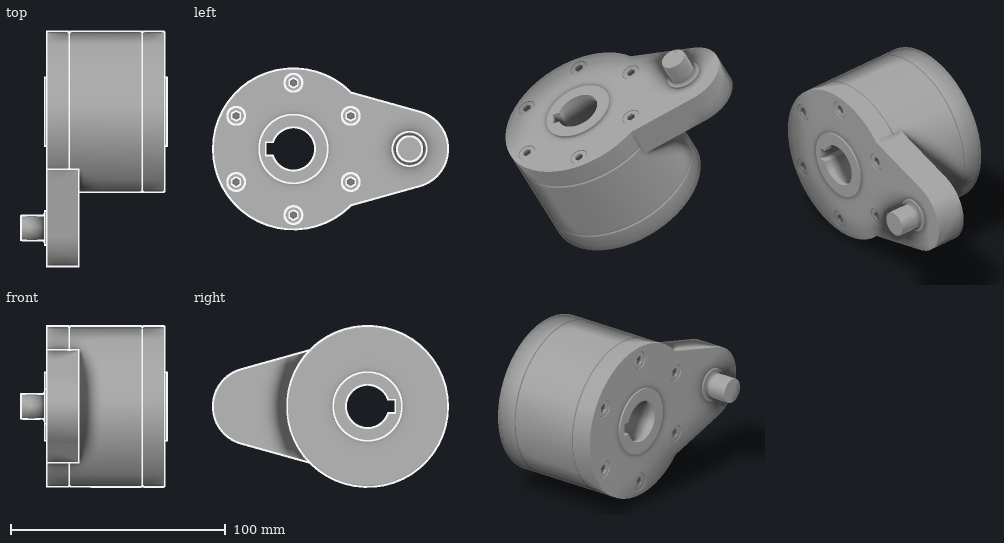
import cadquery as cq
import math

drum_radius = 37.5
drum_length = 55.0
cover_thickness = 10.5
seam_edge_radius = 0.9
rear_edge_radius = 1.0

hub_radius = 16.0
hub_projection = 1.0
hub_length = drum_length + 2 * hub_projection
bore_radius = 10.0
key_width = 6.0
key_reach = 12.8

arm_thickness = 15.0
arm_end_radius = 18.0
arm_reach = 54.0
arm_root_angle = math.radians(44.5)

pin_crown_radius = 6.0
pin_end_radius = 5.8
pin_projection = 12.0
collar_radius = 8.0
collar_height = 1.0
pin_root_radius = 1.0

screw_count = 6
screw_circle_radius = 30.75
screw_head_radius = 4.0
screw_recess_radius = 4.25
screw_recess_depth = 5.0
screw_head_sink = 0.25
socket_across_flats = 4.0
socket_depth = 2.5


def section_at(x):
    """Sketch plane normal to X; its local axes are global Y and Z."""
    return cq.Workplane("YZ", origin=(x, 0, 0))


def make_drum():
    drum = section_at(0).circle(drum_radius).extrude(drum_length)
    return drum.faces(">X").edges().fillet(rear_edge_radius)


def cut_seam(drum, x):
    """Groove left by the rounded edges of a cover and the drum body meeting at x."""
    rim = drum_radius
    root = drum_radius - seam_edge_radius
    drop = seam_edge_radius * (1 - math.sqrt(0.5))
    side = seam_edge_radius * math.sqrt(0.5)
    profile = (
        cq.Workplane("XY")
        .moveTo(x - seam_edge_radius, rim)
        .threePointArc((x - seam_edge_radius + side, rim - drop), (x, root))
        .threePointArc((x + seam_edge_radius - side, rim - drop), (x + seam_edge_radius, rim))
        .close()
    )
    return drum.cut(profile.revolve(360, (0, 0, 0), (1, 0, 0)))


def make_arm():
    """Plate whose straight flanks run tangent into the rounded end."""
    root_y = -drum_radius * math.cos(arm_root_angle)
    root_z = drum_radius * math.sin(arm_root_angle)
    run = arm_reach + root_y
    flank_angle = math.atan2(root_z, run) - math.asin(arm_end_radius / math.hypot(run, root_z))
    tangent_y = -arm_reach - arm_end_radius * math.sin(flank_angle)
    tangent_z = arm_end_radius * math.cos(flank_angle)
    return (
        section_at(0)
        .moveTo(0, 0)
        .lineTo(root_y, root_z)
        .lineTo(tangent_y, tangent_z)
        .threePointArc((-arm_reach - arm_end_radius, 0), (tangent_y, -tangent_z))
        .lineTo(root_y, -root_z)
        .close()
        .extrude(arm_thickness)
    )


def make_hub():
    return section_at(-hub_projection).circle(hub_radius).extrude(hub_length)


def make_bore():
    bore = section_at(-hub_projection).circle(bore_radius).extrude(hub_length)
    keyway = (
        section_at(-hub_projection)
        .center(key_reach / 2, 0)
        .rect(key_reach, key_width)
        .extrude(hub_length)
    )
    return bore.union(keyway)


def make_pin():
    """Slightly barrel-shaped pin on a low collar, with a concave fillet at its root."""
    root_x = -collar_height - pin_root_radius
    arc_offset = pin_root_radius * (1 - math.sqrt(0.5))
    return (
        cq.Workplane("XY")
        .moveTo(0, 0)
        .lineTo(0, collar_radius)
        .lineTo(-collar_height, collar_radius)
        .lineTo(-collar_height, pin_end_radius + pin_root_radius)
        .threePointArc(
            (-collar_height - arc_offset, pin_end_radius + arc_offset),
            (root_x, pin_end_radius),
        )
        .threePointArc(
            ((root_x - pin_projection) / 2, pin_crown_radius),
            (-pin_projection, pin_end_radius),
        )
        .lineTo(-pin_projection, 0)
        .close()
        .revolve(360, (0, 0, 0), (1, 0, 0))
        .translate((0, -arm_reach, 0))
    )


def make_screw_cut(y, z):
    """Material removed over and around one screw head, and the hex socket in it."""
    recess = section_at(0).center(y, z).circle(screw_recess_radius).extrude(screw_recess_depth)
    head = (
        section_at(screw_head_sink)
        .center(y, z)
        .circle(screw_head_radius)
        .extrude(screw_recess_depth - screw_head_sink)
    )
    socket_across_corners = socket_across_flats / math.cos(math.radians(30))
    socket = (
        section_at(screw_head_sink)
        .center(y, z)
        .transformed(rotate=(0, 0, 90))
        .polygon(6, socket_across_corners)
        .extrude(socket_depth)
    )
    return recess.cut(head).union(socket)


drum = make_drum()
for seam_x in (cover_thickness, drum_length - cover_thickness):
    drum = cut_seam(drum, seam_x)

result = drum.union(make_arm()).union(make_hub()).union(make_pin()).cut(make_bore())

for index in range(screw_count):
    angle = math.radians(90) + index * 2 * math.pi / screw_count
    screw_y = screw_circle_radius * math.cos(angle)
    screw_z = screw_circle_radius * math.sin(angle)
    result = result.cut(make_screw_cut(screw_y, screw_z))